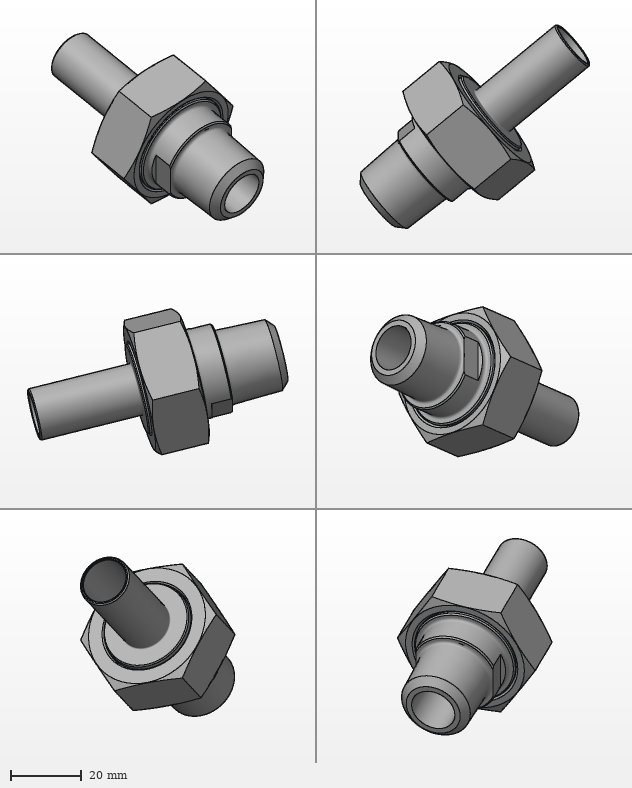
import cadquery as cq
import math

TOTAL_LENGTH = 72.0
BORE_RADIUS = 13.0 / 2

PIPE_RADIUS = 15.0 / 2
PIPE_TIP_RADIUS = 14.2 / 2
PIPE_MOUTH_CHAMFER = 0.2
FLANGE_RADIUS = 26.0 / 2
FLANGE_START = 29.95
FLANGE_CHAMFER = 0.35
PIPE_ROOT_FILLET = 0.35

NUT_ACROSS_FLATS = 36.0
NUT_START = 30.8
NUT_END = 46.5
NUT_FACE_RADIUS = 35.8 / 2
NUT_CORNER_SETBACK = 1.1
NUT_LIP_RADIUS = 26.5 / 2
NUT_LIP_LENGTH = 3.0
NUT_LIP_CHAMFER = 0.5
THREAD_RADIUS = 30.4 / 2
NUT_MOUTH_RADIUS = 31.8 / 2

JOINT_X = 37.45
THREAD_END = 46.95
THREAD_END_RADIUS = 29.5 / 2
BARREL_RADIUS = FLANGE_RADIUS
ROOT_FILLET = 0.9
BARREL_END = 54.9
BARREL_CHAMFER = 0.4
FLAT_DISTANCE = 11.6
FLAT_START = 48.8
FLAT_END_SLOPE = 0.2
TAPER_START_RADIUS = 10.8
TAPER_PER_LENGTH = 1 / 16
TIP_CHAMFER_START = 69.85
TIP_RADIUS = 8.1

NUT_LIP_END = NUT_START + NUT_LIP_LENGTH


def revolve_about_x(profile):
    """Turn a closed (x, radius) outline fully around the X axis."""
    return profile.close().revolve(360, (0, 0, 0), (1, 0, 0))


def make_tailpiece():
    tip_chamfer = PIPE_RADIUS - PIPE_TIP_RADIUS
    profile = (
        cq.Workplane("XY")
        .moveTo(PIPE_MOUTH_CHAMFER, BORE_RADIUS)
        .lineTo(0, BORE_RADIUS + PIPE_MOUTH_CHAMFER)
        .lineTo(0, PIPE_TIP_RADIUS)
        .lineTo(tip_chamfer, PIPE_RADIUS)
        .lineTo(FLANGE_START - PIPE_ROOT_FILLET, PIPE_RADIUS)
        .radiusArc((FLANGE_START, PIPE_RADIUS + PIPE_ROOT_FILLET), -PIPE_ROOT_FILLET)
        .lineTo(FLANGE_START, FLANGE_RADIUS - FLANGE_CHAMFER)
        .lineTo(FLANGE_START + FLANGE_CHAMFER, FLANGE_RADIUS)
        .lineTo(NUT_LIP_END, FLANGE_RADIUS)
        .lineTo(NUT_LIP_END, THREAD_RADIUS)
        .lineTo(JOINT_X, THREAD_RADIUS)
        .lineTo(JOINT_X, BORE_RADIUS)
    )
    return revolve_about_x(profile)


def make_nut():
    corner_radius = NUT_ACROSS_FLATS / math.sqrt(3)
    mouth_chamfer = NUT_MOUTH_RADIUS - THREAD_RADIUS
    hexagon = (
        cq.Workplane("YZ", origin=(NUT_START, 0, 0))
        .polygon(6, 2 * corner_radius)
        .extrude(NUT_END - NUT_START)
    )
    turned_ring = revolve_about_x(
        cq.Workplane("XY")
        .moveTo(NUT_START, NUT_LIP_RADIUS + NUT_LIP_CHAMFER)
        .lineTo(NUT_START, NUT_FACE_RADIUS)
        .lineTo(NUT_START + NUT_CORNER_SETBACK, corner_radius)
        .lineTo(NUT_END - NUT_CORNER_SETBACK, corner_radius)
        .lineTo(NUT_END, NUT_FACE_RADIUS)
        .lineTo(NUT_END, NUT_MOUTH_RADIUS)
        .lineTo(NUT_END - mouth_chamfer, THREAD_RADIUS)
        .lineTo(NUT_LIP_END, THREAD_RADIUS)
        .lineTo(NUT_LIP_END, NUT_LIP_RADIUS)
        .lineTo(NUT_START + NUT_LIP_CHAMFER, NUT_LIP_RADIUS)
    )
    return hexagon.intersect(turned_ring)


def make_body():
    thread_chamfer = THREAD_RADIUS - THREAD_END_RADIUS
    taper_start = BARREL_END + ROOT_FILLET
    taper_end_radius = TAPER_START_RADIUS - (TIP_CHAMFER_START - taper_start) * TAPER_PER_LENGTH / 2
    body = revolve_about_x(
        cq.Workplane("XY")
        .moveTo(JOINT_X, BORE_RADIUS)
        .lineTo(JOINT_X, THREAD_RADIUS)
        .lineTo(THREAD_END - thread_chamfer, THREAD_RADIUS)
        .lineTo(THREAD_END, THREAD_END_RADIUS)
        .lineTo(THREAD_END, BARREL_RADIUS + ROOT_FILLET)
        .radiusArc((THREAD_END + ROOT_FILLET, BARREL_RADIUS), -ROOT_FILLET)
        .lineTo(BARREL_END - BARREL_CHAMFER, BARREL_RADIUS)
        .lineTo(BARREL_END, BARREL_RADIUS - BARREL_CHAMFER)
        .lineTo(BARREL_END, TAPER_START_RADIUS + ROOT_FILLET)
        .radiusArc((taper_start, TAPER_START_RADIUS), -ROOT_FILLET)
        .lineTo(TIP_CHAMFER_START, taper_end_radius)
        .lineTo(TOTAL_LENGTH, TIP_RADIUS)
        .lineTo(TOTAL_LENGTH, BORE_RADIUS)
    )
    flat_cutter = (
        cq.Workplane("XY")
        .moveTo(FLAT_START, FLAT_DISTANCE)
        .lineTo(BARREL_END, FLAT_DISTANCE)
        .lineTo(BARREL_END, BARREL_RADIUS)
        .lineTo(FLAT_START - FLAT_END_SLOPE, BARREL_RADIUS)
        .close()
        .extrude(BARREL_RADIUS, both=True)
    )
    return body.cut(flat_cutter).cut(flat_cutter.mirror("XZ"))


tailpiece = make_tailpiece()
nut = make_nut()
body = make_body()

result = cq.Compound.makeCompound([tailpiece.val(), nut.val(), body.val()])